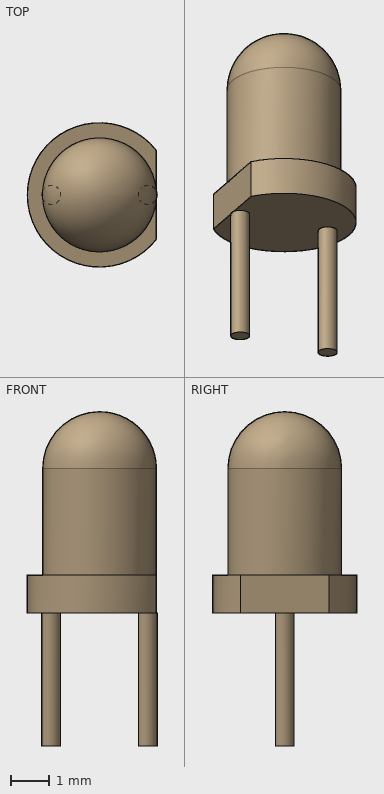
import cadquery as cq

lens_diameter = 3.0
lens_straight_height = 2.8
flange_diameter = 3.8
flange_height = 1.0
lead_diameter = 0.5
lead_length = 3.5
lead_pitch = 2.54

lens_radius = lens_diameter / 2
flange_radius = flange_diameter / 2
flat_distance = lens_radius
dome_base = flange_height + lens_straight_height


def make_flange():
    """Disc standing on Z = 0, cut flat on its +X side."""
    disc = cq.Workplane("XY").circle(flange_radius).extrude(flange_height)
    waste = cq.Workplane("XY").box(
        flange_radius, flange_diameter, flange_height, centered=(False, True, False)
    )
    return disc.cut(waste.translate((flat_distance, 0, 0)))


def make_lens():
    """Cylinder on top of the flange, ending in a hemispherical dome."""
    barrel = (
        cq.Workplane("XY")
        .workplane(offset=flange_height)
        .circle(lens_radius)
        .extrude(lens_straight_height)
    )
    dome = cq.Workplane("XY").workplane(offset=dome_base).sphere(lens_radius, angle1=0)
    return barrel.union(dome)


def make_leads():
    """Two round leads hanging below the flange, spaced along X."""
    return (
        cq.Workplane("XY")
        .pushPoints([(-lead_pitch / 2, 0), (lead_pitch / 2, 0)])
        .circle(lead_diameter / 2)
        .extrude(-lead_length)
    )


result = make_flange().union(make_lens()).union(make_leads())